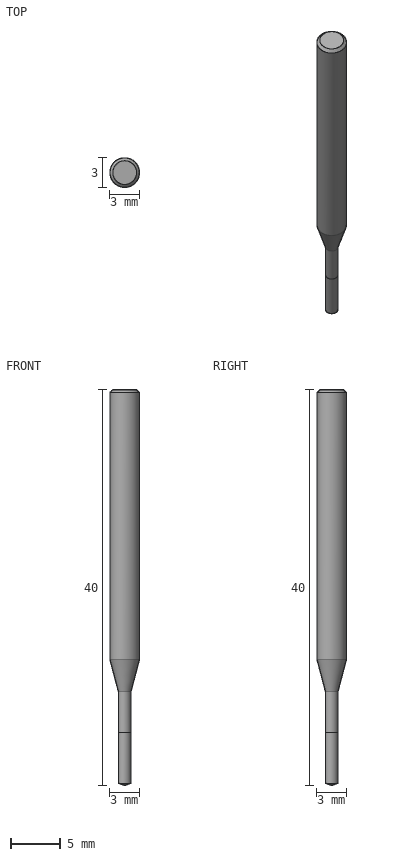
import cadquery as cq
import math

overall_length = 40.0
shank_diameter = 3.0
shank_chamfer = 0.3
cutter_diameter = 1.3
cutter_length = 5.35
taper_bottom = 9.5
taper_top = 12.7
point_angle = 140.0

shank_radius = shank_diameter / 2
cutter_radius = cutter_diameter / 2
point_height = cutter_radius / math.tan(math.radians(point_angle / 2))


def revolve_profile(points):
    """Turn a closed (radius, height) profile once around the Z axis."""
    return cq.Workplane("XZ").polyline(points).close().revolve(360, (0, 0, 0), (0, 1, 0))


def make_shank():
    """Chamfered shank, tapering down to the neck that carries the cutter."""
    return revolve_profile([
        (0, cutter_length),
        (cutter_radius, cutter_length),
        (cutter_radius, taper_bottom),
        (shank_radius, taper_top),
        (shank_radius, overall_length - shank_chamfer),
        (shank_radius - shank_chamfer, overall_length),
        (0, overall_length),
    ])


def make_cutter():
    """Cylindrical cutter with a shallow conical point."""
    return revolve_profile([
        (0, 0),
        (cutter_radius, point_height),
        (cutter_radius, cutter_length),
        (0, cutter_length),
    ])


shank = make_shank()
cutter = make_cutter()

result = cq.Compound.makeCompound([shank.val(), cutter.val()])